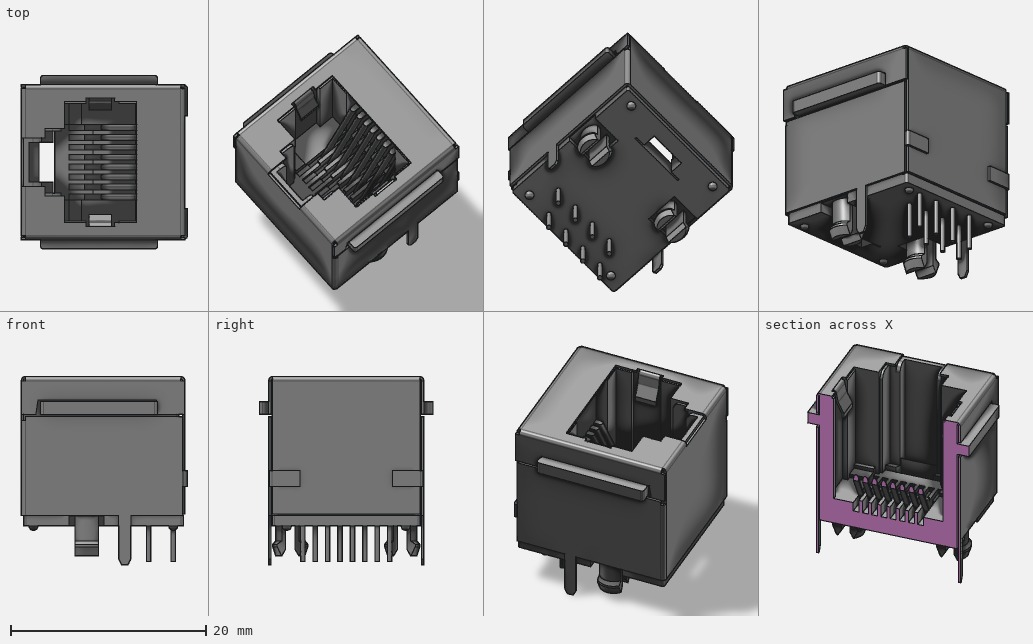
import cadquery as cq
import math

SIDES = (-1, 1)

sheet = 0.25
bend_radius = 0.45
shield_half_width = 7.95
shield_inner_half_width = shield_half_width - sheet
shield_top = 15.31
shield_bottom = 1.06
cover_length = 16.77
wall_length = 16.57
cover_skirt_bottom = 11.43
side_wall_top = 11.20
rear_panel_bottom = 1.20
corner_gap_half_width = 7.53
corner_gap_bottom = 10.80

body_half_width = 7.60
body_front = sheet
body_rear = 16.16
base_rear = 16.63
base_corner_radius = 0.25
body_top = shield_top - sheet

flange_start = 1.97
flange_end = 13.97
flange_half_width = 8.89
flange_height = 1.31
flange_corner_radius = 0.30
flange_top = cover_skirt_bottom + flange_height
flange_clearance = 0.14
flange_relief_margin = 0.47
flange_relief_top_margin = 0.25

cavity_start = 4.44
cavity_end = 11.70
cavity_half_width = 6.00
cavity_floor = 3.00
cover_opening_end = 11.83
cover_opening_half_width = 6.20
latch_start = 2.45
latch_half_width = 3.46
latch_wall_half_width = 3.18
latch_wall_end = 4.08
latch_slot_half_width = 2.48
latch_slot_wall_half_width = 2.04
latch_slot_start = 0.78
latch_sill = 14.70
latch_hole_start = 1.83
latch_ramp_end = 3.26
latch_hole_end = 3.43
latch_ledge_start = 2.08
latch_ledge_radius = 0.85
latch_front_ramp_rise = 0.75
latch_side_ramp_rise = 0.45

spring_start = 6.95
spring_end = 9.27
spring_notch_start = 6.66
spring_notch_end = 9.56
spring_notch_half_width = 6.59
spring_recess_end = 10.00
spring_root_half_width = 6.65
spring_bend_half_width = 6.20
spring_bend_radius = 0.45
spring_bend_bottom = shield_top - spring_bend_radius
spring_knee_half_width = 6.00
spring_knee_height = 13.90
spring_tip_half_width = 5.37
spring_lip_height = 12.65
spring_tip_height = 12.10

contact_count = 8
contact_pitch = 1.016
contact_slot_width = 0.60
contact_edge_radius = 0.27
contact_thickness = 0.30
contact_slot_start = 4.90
contact_slot_step = 6.50
contact_slot_shallow_depth = 0.50
contact_slot_depth = 1.00
rib_step = 7.33
contact_foot = (8.16, cavity_floor - contact_slot_depth)
contact_crest = (12.10, 9.55)
contact_recess_end = 13.00
contact_bank_half_width = ((contact_count - 1) * contact_pitch + contact_slot_width) / 2
corner_step_start = 4.90
corner_step_end = 6.15
step_height = 0.40

pin_pitch = 1.27
pin_diameter = 0.48
pin_tip = -3.67
pin_rows = (15.57, 13.05)

leg_center = 10.61
leg_width = 1.25
leg_tip_width = 0.65
leg_tip_height = 0.60
leg_bottom = -4.00

peg_x = 6.72
peg_y = 5.73
peg_radius = 1.50
peg_half_thickness = 1.22
peg_slit_half_width = 0.47
peg_tip_slit_half_width = 0.87
peg_barb = 0.31
peg_bottom = -3.06
barb_start = -1.53
barb_full = -1.89
barb_end = -2.14
slit_flare_start = -2.40
peg_pocket_start = 4.87
peg_pocket_end = 8.48
peg_pocket_inner = 4.20
peg_pocket_height = 1.00

dome_radius = 0.46
dome_y = 6.08
dome_stations = (1.25, 15.57)

tab_outer = 17.01
tab_inner_y = 4.75
tab_outer_y = 7.85
tab_bottom = 4.03
tab_top = 5.65


def box(x0, x1, y0, y1, z0, z1):
    """Axis-aligned block between two opposite corners."""
    return cq.Workplane("XY").box(x1 - x0, y1 - y0, z1 - z0, centered=False).translate((x0, y0, z0))


def wide_box(x0, x1, half_width, z0, z1):
    """Block centred on the symmetry plane."""
    return box(x0, x1, -half_width, half_width, z0, z1)


def side_box(side, x0, x1, y0, y1, z0, z1):
    """Block on one side of the part, with Y measured outward from the symmetry plane."""
    low, high = sorted((side * y0, side * y1))
    return box(x0, x1, low, high, z0, z1)


def contact_ys():
    return [(i - (contact_count - 1) / 2) * contact_pitch for i in range(contact_count)]


def make_body():
    base = wide_box(body_front, base_rear, body_half_width, 0, shield_bottom)
    base = base.edges("|Z").fillet(base_corner_radius)
    body = wide_box(body_front, body_rear, body_half_width, shield_bottom, body_top)
    body = body.edges("|Z and >X").fillet(base_corner_radius)
    flanges = wide_box(flange_start, flange_end, flange_half_width, cover_skirt_bottom, flange_top)
    flanges = flanges.edges("|Z").fillet(flange_corner_radius)
    body = body.union(base).union(flanges)
    for side in SIDES:
        body = body.cut(side_box(side, peg_pocket_start, peg_pocket_end, peg_pocket_inner,
                                 body_half_width, 0, peg_pocket_height))
    return body


def ledge_rounding(end_x, half_width):
    """Waste above the rounded end of the ledges that flank the latch slot."""
    profile = (
        cq.Workplane("XZ")
        .moveTo(end_x - latch_ledge_radius, body_top)
        .radiusArc((end_x, body_top - latch_ledge_radius), latch_ledge_radius)
        .lineTo(end_x, body_top)
        .close()
    )
    return profile.extrude(half_width, both=True)


def cut_cavity(body):
    """Plug cavity, latch slot and the opening through the base below the latch."""
    cavity = wide_box(cavity_start, cavity_end, cavity_half_width, cavity_floor, body_top)
    cavity = cavity.union(wide_box(spring_notch_start, spring_recess_end, spring_notch_half_width,
                                   cavity_floor, body_top))
    cavity = cavity.union(wide_box(cavity_end, contact_recess_end, contact_bank_half_width,
                                   cavity_floor, body_top))
    cavity = cavity.union(wide_box(latch_ledge_start, latch_wall_end, latch_wall_half_width,
                                   cavity_floor, body_top))
    cavity = cavity.union(wide_box(latch_wall_end, cavity_start, latch_half_width,
                                   cavity_floor, body_top))
    cavity = cavity.union(wide_box(latch_slot_start, latch_ledge_start, latch_slot_wall_half_width,
                                   cavity_floor, body_top))
    cavity = cavity.union(ledge_rounding(latch_ledge_start, latch_slot_half_width))
    cavity = cavity.union(ledge_rounding(latch_wall_end, latch_half_width))
    cavity = cavity.union(wide_box(latch_hole_start, latch_hole_end, latch_slot_wall_half_width,
                                   0, cavity_floor))
    cavity = cavity.union(wide_box(latch_ramp_end, latch_hole_end, latch_wall_half_width,
                                   0, cavity_floor))
    return body.cut(cavity)


def ramp(x0, x1, y0, y1, rise):
    """Wedge on the cavity floor that rises toward +X."""
    profile = cq.Workplane("XZ").polyline([
        (x0, cavity_floor),
        (x1, cavity_floor),
        (x1, cavity_floor + rise),
    ])
    return profile.close().extrude(y0 - y1).translate((0, y0, 0))


def add_floor_details(body):
    body = body.union(ramp(latch_slot_start, latch_hole_start,
                           -latch_slot_wall_half_width, latch_slot_wall_half_width,
                           latch_front_ramp_rise))
    for side in SIDES:
        low, high = sorted((side * latch_slot_wall_half_width, side * latch_wall_half_width))
        body = body.union(ramp(latch_ledge_start, latch_ramp_end, low, high, latch_side_ramp_rise))
        for level, end in enumerate((corner_step_end, corner_step_start)):
            bottom = cavity_floor + level * step_height
            body = body.union(side_box(side, cavity_start, end, contact_bank_half_width,
                                       cavity_half_width, bottom, bottom + step_height))
    body = body.union(wide_box(rib_step, cavity_end, contact_bank_half_width,
                               cavity_floor, cavity_floor + step_height))
    slot_top = cavity_floor + step_height
    for y in contact_ys():
        y0 = y - contact_slot_width / 2
        y1 = y + contact_slot_width / 2
        body = body.cut(box(contact_slot_start, contact_slot_step, y0, y1,
                            cavity_floor - contact_slot_shallow_depth, slot_top))
        body = body.cut(box(contact_slot_step, contact_recess_end, y0, y1,
                            cavity_floor - contact_slot_depth, slot_top))
    return body


def make_contact(y):
    """Spring contact that climbs from the floor and folds back into the rear wall."""
    foot_x, foot_z = contact_foot
    crest_x, crest_z = contact_crest
    slope = math.atan2(crest_z - foot_z, crest_x - foot_x)
    shift = contact_thickness / math.sin(slope)
    profile = cq.Workplane("XZ").polyline([
        (foot_x, foot_z),
        (crest_x, crest_z),
        (contact_recess_end, crest_z),
        (contact_recess_end, crest_z - contact_thickness),
        (crest_x + shift, crest_z - contact_thickness),
        (foot_x + shift, foot_z),
    ]).close()
    contact = profile.extrude(contact_slot_width / 2, both=True)
    sloped_face = cq.selectors.NearestToPointSelector(((foot_x + crest_x) / 2, 0, (foot_z + crest_z) / 2))
    contact = contact.faces(sloped_face).edges("not |Y").fillet(contact_edge_radius)
    return contact.translate((0, y, 0))


def make_cover():
    """Top plate with short side skirts, bent down into full front and rear panels."""
    outer = wide_box(0, cover_length, shield_half_width, shield_bottom, shield_top)
    outer = outer.faces(">Z").edges().fillet(bend_radius)
    inner = wide_box(sheet, cover_length - sheet, shield_inner_half_width, shield_bottom, body_top)
    inner = inner.faces(">Z").edges().fillet(bend_radius - sheet)
    cover = outer.cut(inner)

    cover = cover.cut(wide_box(cover_length - sheet, cover_length, shield_half_width,
                               shield_bottom, rear_panel_bottom))
    flange_relief = cq.Workplane("XZ").polyline([
        (flange_start - flange_relief_margin, cover_skirt_bottom),
        (flange_start - flange_relief_top_margin, flange_top + flange_clearance),
        (flange_end - flange_clearance, flange_top + flange_clearance),
        (flange_end, cover_skirt_bottom),
    ]).close().extrude(shield_half_width, both=True)
    cover = cover.cut(flange_relief)
    corner_top = shield_top - bend_radius
    corner_length = shield_half_width - corner_gap_half_width
    for side in SIDES:
        cover = cover.cut(side_box(side, 0, cover_length, shield_inner_half_width,
                                   shield_half_width, shield_bottom, cover_skirt_bottom))
        for x0 in (0, cover_length - sheet):
            cover = cover.cut(side_box(side, x0, x0 + sheet, corner_gap_half_width,
                                       shield_inner_half_width, shield_bottom, corner_top))
        for x0 in (0, cover_length - corner_length):
            cover = cover.cut(side_box(side, x0, x0 + corner_length, corner_gap_half_width,
                                       shield_half_width, corner_top, shield_top))
    return cover


def cut_cover_opening(cover):
    opening = wide_box(cavity_start, cover_opening_end, cover_opening_half_width, body_top, shield_top)
    opening = opening.union(wide_box(spring_notch_start, spring_notch_end, spring_notch_half_width,
                                     body_top, shield_top))
    opening = opening.union(wide_box(latch_start, cavity_start, latch_half_width, body_top, shield_top))
    opening = opening.union(wide_box(0, latch_start, latch_slot_half_width, latch_sill, shield_top))
    return cover.cut(opening)


def make_side_walls():
    """Lower side walls, joined to the front panel by rounded corners."""
    outer = wide_box(0, wall_length, shield_half_width, shield_bottom, side_wall_top)
    outer = outer.edges("|Z and <X").fillet(bend_radius)
    walls = outer.cut(wide_box(sheet, wall_length, shield_inner_half_width, shield_bottom, side_wall_top))
    for side in SIDES:
        walls = walls.cut(side_box(side, 0, bend_radius, corner_gap_half_width, shield_half_width,
                                   corner_gap_bottom, side_wall_top))
    return walls


def make_rear_tab(side):
    """Side-wall tab folded over the rear panel."""
    tab = side_box(side, wall_length, tab_outer, tab_inner_y, tab_outer_y, tab_bottom, tab_top)
    outer_edge = ">Y" if side > 0 else "<Y"
    return tab.edges("|Z and >X").edges(outer_edge).fillet(sheet)


def make_leg(side):
    profile = cq.Workplane("XZ").polyline([
        (leg_center - leg_width / 2, shield_bottom),
        (leg_center - leg_width / 2, leg_bottom + leg_tip_height),
        (leg_center - leg_tip_width / 2, leg_bottom),
        (leg_center + leg_tip_width / 2, leg_bottom),
        (leg_center + leg_width / 2, leg_bottom + leg_tip_height),
        (leg_center + leg_width / 2, shield_bottom),
    ]).close()
    center_y = side * (shield_half_width - sheet / 2)
    return profile.extrude(sheet / 2, both=True).translate((0, center_y, 0))


def make_spring(side):
    """Grounding spring that hangs from the cover opening into the cavity."""
    hanging_front = [
        (spring_bend_half_width, spring_bend_bottom),
        (spring_knee_half_width, spring_knee_height),
        (spring_tip_half_width, spring_lip_height),
        (spring_tip_half_width, spring_tip_height),
    ]
    hanging_back = [(y + sheet, z) for y, z in reversed(hanging_front)]
    front = [(spring_root_half_width, shield_top)] + hanging_front
    back = hanging_back + [(spring_root_half_width, body_top)]
    points = [(side * y, z) for y, z in front + back]
    profile = cq.Workplane("YZ").moveTo(*points[0])
    profile = profile.radiusArc(points[1], -side * spring_bend_radius)
    for point in points[2:]:
        profile = profile.lineTo(*point)
    strip = profile.close().extrude(spring_end - spring_start)
    return strip.translate((spring_start, 0, 0))


def make_peg(side):
    """Split snap peg: two half-cylinders with tapered barbs, flattened along X."""
    barb_radius = peg_radius + peg_barb
    shaft = cq.Workplane("XZ").polyline([
        (0, shield_bottom),
        (peg_radius, shield_bottom),
        (peg_radius, barb_start),
        (barb_radius, barb_full),
        (barb_radius, barb_end),
        (peg_radius, peg_bottom),
        (0, peg_bottom),
    ]).close().revolve(360, (0, 0, 0), (0, 1, 0))
    slit = cq.Workplane("YZ").polyline([
        (-peg_slit_half_width, shield_bottom),
        (-peg_slit_half_width, slit_flare_start),
        (-peg_tip_slit_half_width, peg_bottom),
        (peg_tip_slit_half_width, peg_bottom),
        (peg_slit_half_width, slit_flare_start),
        (peg_slit_half_width, shield_bottom),
    ]).close().extrude(peg_radius, both=True)
    flats = box(-peg_half_thickness, peg_half_thickness, -barb_radius, barb_radius,
                peg_bottom, shield_bottom)
    return shaft.intersect(flats).cut(slit).translate((peg_x, side * peg_y, 0))


def make_pins():
    pins = cq.Workplane("XY")
    for i in range(contact_count):
        y = (i - (contact_count - 1) / 2) * pin_pitch
        pin = cq.Workplane("XY").circle(pin_diameter / 2).extrude(shield_bottom - pin_tip)
        pins = pins.add(pin.translate((pin_rows[i % len(pin_rows)], y, pin_tip)))
    return pins


def make_domes():
    domes = cq.Workplane("XY")
    for x in dome_stations:
        for side in SIDES:
            domes = domes.add(cq.Workplane("XY").sphere(dome_radius).translate((x, side * dome_y, 0)))
    return domes


result = add_floor_details(cut_cavity(make_body()))
for contact_y in contact_ys():
    result = result.union(make_contact(contact_y))
result = result.union(cut_cover_opening(make_cover()))
result = result.union(make_side_walls())
for side in SIDES:
    result = result.union(make_leg(side))
    result = result.union(make_spring(side))
    result = result.union(make_peg(side))
    result = result.union(make_rear_tab(side))
for piece in make_pins().vals() + make_domes().vals():
    result = result.union(cq.Workplane(piece))